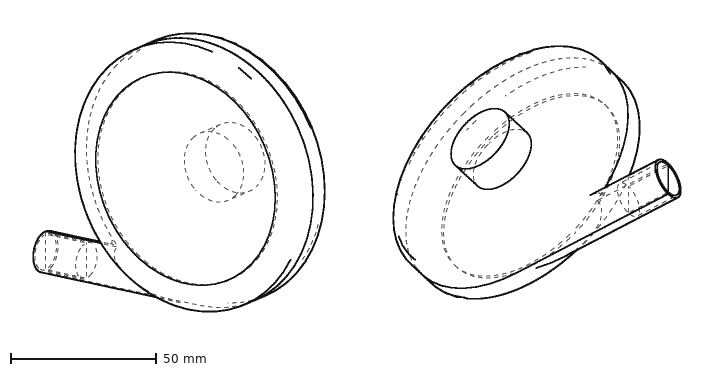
import cadquery as cq

CASE_DIAMETER = 95.7
CASE_THICKNESS = 16.8
FRONT_EDGE_RADIUS = 2.6
BACK_EDGE_RADIUS = 2.0

OVERALL_LENGTH = 112.8
TUBE_DIAMETER = 14.7
TUBE_FILLET = 2.0
PLUG_DIAMETER = 12.7

BOSS_DIAMETER = 25.0
BOSS_HEIGHT = 12.6
DISC_DIAMETER = 75.7
DISC_THICKNESS = 1.1

CASE_RADIUS = CASE_DIAMETER / 2
HALF_THICKNESS = CASE_THICKNESS / 2
TUBE_END_X = CASE_RADIUS - OVERALL_LENGTH
TUBE_AXIS_Z = TUBE_DIAMETER / 2 - CASE_RADIUS
PLUG_LENGTH = OVERALL_LENGTH - CASE_DIAMETER

FRONT = -1
BACK = 1


def cylinder_along_y(diameter, start_y, end_y):
    """Cylinder on the case axis between two Y positions."""
    return (
        cq.Workplane("XZ", origin=(0, start_y, 0))
        .circle(diameter / 2)
        .extrude(start_y - end_y)
    )


def half_rod(diameter, length, side):
    """Half of a rod on the tube axis, from the tube's open end, on one side of the parting plane."""
    rod = (
        cq.Workplane("YZ", origin=(TUBE_END_X, 0, TUBE_AXIS_Z))
        .circle(diameter / 2)
        .extrude(length)
    )
    kept_side = (
        cq.Workplane("YZ", origin=(TUBE_END_X, side * diameter / 2, TUBE_AXIS_Z))
        .rect(diameter, 2 * diameter)
        .extrude(length)
    )
    return rod.intersect(kept_side)


def half_case(side, edge_radius):
    """One half of the round case with its outer rim rounded, without the tube."""
    outer_face = ">Y" if side == BACK else "<Y"
    half = cylinder_along_y(CASE_DIAMETER, 0, side * HALF_THICKNESS)
    return half.faces(outer_face).edges().fillet(edge_radius)


def half_tube(side):
    """One half of the tube, running from its open end to below the case axis."""
    return half_rod(TUBE_DIAMETER, -TUBE_END_X, side)


def make_plug_half(side):
    """One half of the plug that closes the tube."""
    return half_rod(PLUG_DIAMETER, PLUG_LENGTH, side)


def make_front_shell():
    """Front shell, recessed for the disc and the plug."""
    shell = half_case(FRONT, FRONT_EDGE_RADIUS).union(half_tube(FRONT))
    return shell.cut(make_plug_half(FRONT)).cut(make_disc())


def make_back_shell():
    """Back shell, whose tube runs into the case with a fillet and which carries the boss."""
    shell = half_case(BACK, BACK_EDGE_RADIUS).union(half_tube(BACK))
    shell = shell.edges("%BSPLINE").fillet(TUBE_FILLET)
    boss = cylinder_along_y(BOSS_DIAMETER, 0, HALF_THICKNESS + BOSS_HEIGHT)
    return shell.union(boss).cut(make_plug_half(BACK))


def make_disc():
    """Disc that lies flush in the front face."""
    return cylinder_along_y(DISC_DIAMETER, -HALF_THICKNESS, DISC_THICKNESS - HALF_THICKNESS)


front_shell = make_front_shell()
back_shell = make_back_shell()
disc = make_disc()
plug_halves = [make_plug_half(side) for side in (FRONT, BACK)]

result = cq.Compound.makeCompound(
    [front_shell.val(), back_shell.val(), disc.val(), *[half.val() for half in plug_halves]]
)